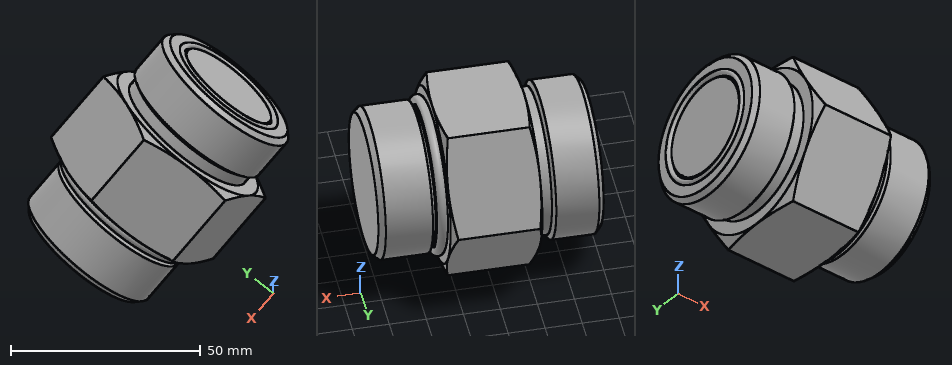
import cadquery as cq
import math

OVERALL_LENGTH = 61.4

HEX_ACROSS_FLATS = 47.7
HEX_START = 18.05
HEX_LENGTH = 24.8
HEX_END = HEX_START + HEX_LENGTH
HEX_ACROSS_CORNERS = HEX_ACROSS_FLATS / math.cos(math.radians(30))
HEX_CHAMFER_ANGLE = 20.0

FLANK_ANGLE = 30.0

LEFT_DIAMETER = 42.9
LEFT_NECK_DIAMETER = 39.85
LEFT_NECK_START = 14.7
LEFT_FACE_X = 0.7
LEFT_CHAMFER = (LEFT_DIAMETER - LEFT_NECK_DIAMETER) / 2

FACE_SEAL_SECTION = 1.8
FACE_GROOVE_OUTER_DIAMETER = 33.2
FACE_GROOVE_INNER_DIAMETER = 28.7
FACE_GROOVE_DEPTH = FACE_SEAL_SECTION - LEFT_FACE_X
FACE_SEAL_MEAN_DIAMETER = FACE_GROOVE_OUTER_DIAMETER - FACE_SEAL_SECTION

RIGHT_DIAMETER = 41.3
RIGHT_TIP_DIAMETER = 38.3
RIGHT_TIP_CHAMFER_LENGTH = 1.7

PORT_SEAL_SECTION = 2.9
UNDERCUT_DIAMETER = 37.6
UNDERCUT_LENGTH = 3.0
UNDERCUT_END = HEX_END + UNDERCUT_LENGTH
PORT_SEAL_MEAN_DIAMETER = UNDERCUT_DIAMETER + PORT_SEAL_SECTION


def flank_length(outer_diameter, inner_diameter):
    """Axial length of the conical flank between a thread and its undercut."""
    return (outer_diameter - inner_diameter) / 2 * math.tan(math.radians(FLANK_ANGLE))


def revolve_about_x(points):
    """Solid of revolution about X from (x, radius) points, whose first and last lie on the axis."""
    return cq.Workplane("XY").polyline(points).close().revolve(360, (0, 0, 0), (1, 0, 0))


def make_hexagon():
    """Hexagonal prism whose corners are cut by a cone at both ends."""
    prism = (
        cq.Workplane("YZ", origin=(HEX_START, 0, 0))
        .polygon(6, HEX_ACROSS_CORNERS)
        .extrude(HEX_LENGTH)
    )
    flat_radius = HEX_ACROSS_FLATS / 2
    corner_radius = HEX_ACROSS_CORNERS / 2
    chamfer_length = (corner_radius - flat_radius) * math.tan(math.radians(HEX_CHAMFER_ANGLE))
    envelope = revolve_about_x([
        (HEX_START, 0),
        (HEX_START, flat_radius),
        (HEX_START + chamfer_length, corner_radius),
        (HEX_END - chamfer_length, corner_radius),
        (HEX_END, flat_radius),
        (HEX_END, 0),
    ])
    return prism.intersect(envelope)


def make_left_end():
    """Left thread with a chamfered face and a plain neck up to the hexagon."""
    thread_end = LEFT_NECK_START - flank_length(LEFT_DIAMETER, LEFT_NECK_DIAMETER)
    return revolve_about_x([
        (LEFT_FACE_X, 0),
        (LEFT_FACE_X, LEFT_NECK_DIAMETER / 2),
        (LEFT_FACE_X + LEFT_CHAMFER, LEFT_DIAMETER / 2),
        (thread_end, LEFT_DIAMETER / 2),
        (LEFT_NECK_START, LEFT_NECK_DIAMETER / 2),
        (HEX_START, LEFT_NECK_DIAMETER / 2),
        (HEX_START, 0),
    ])


def make_right_end():
    """Right thread with a chamfered tip and an undercut beside the hexagon."""
    thread_start = UNDERCUT_END + flank_length(RIGHT_DIAMETER, UNDERCUT_DIAMETER)
    return revolve_about_x([
        (HEX_END, 0),
        (HEX_END, UNDERCUT_DIAMETER / 2),
        (UNDERCUT_END, UNDERCUT_DIAMETER / 2),
        (thread_start, RIGHT_DIAMETER / 2),
        (OVERALL_LENGTH - RIGHT_TIP_CHAMFER_LENGTH, RIGHT_DIAMETER / 2),
        (OVERALL_LENGTH, RIGHT_TIP_DIAMETER / 2),
        (OVERALL_LENGTH, 0),
    ])


def make_face_groove():
    """Ring-shaped cutter for the seal groove in the left end face."""
    return (
        cq.Workplane("YZ", origin=(LEFT_FACE_X, 0, 0))
        .circle(FACE_GROOVE_OUTER_DIAMETER / 2)
        .circle(FACE_GROOVE_INNER_DIAMETER / 2)
        .extrude(FACE_GROOVE_DEPTH)
    )


def make_housing():
    """Hexagonal body with both threaded ends and the face groove."""
    return make_hexagon().union(make_left_end()).union(make_right_end()).cut(make_face_groove())


def make_o_ring(center_x, mean_diameter, section_diameter):
    """O-ring around the X axis."""
    return (
        cq.Workplane("XY")
        .center(center_x, mean_diameter / 2)
        .circle(section_diameter / 2)
        .revolve(360, (0, -mean_diameter / 2, 0), (1, -mean_diameter / 2, 0))
    )


housing = make_housing()
face_seal = make_o_ring(FACE_SEAL_SECTION / 2, FACE_SEAL_MEAN_DIAMETER, FACE_SEAL_SECTION)
port_seal = make_o_ring(HEX_END + PORT_SEAL_SECTION / 2, PORT_SEAL_MEAN_DIAMETER, PORT_SEAL_SECTION)

result = cq.Compound.makeCompound([housing.solids().val(), face_seal.val(), port_seal.val()])